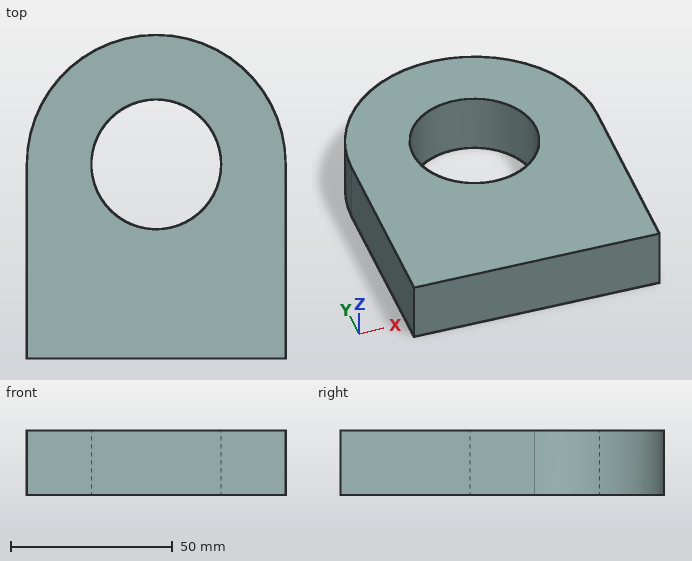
import cadquery as cq

length = 100.0
width = 80.0
thickness = 20.0
hole_diameter = 40.0

end_radius = width / 2
straight_length = length - end_radius

plate = (
    cq.Workplane("XY")
    .moveTo(-end_radius, 0)
    .lineTo(-end_radius, -straight_length)
    .lineTo(end_radius, -straight_length)
    .lineTo(end_radius, 0)
    .threePointArc((0, end_radius), (-end_radius, 0))
    .close()
    .extrude(thickness)
)

hole = cq.Workplane("XY").circle(hole_diameter / 2).extrude(thickness)

result = plate.cut(hole)